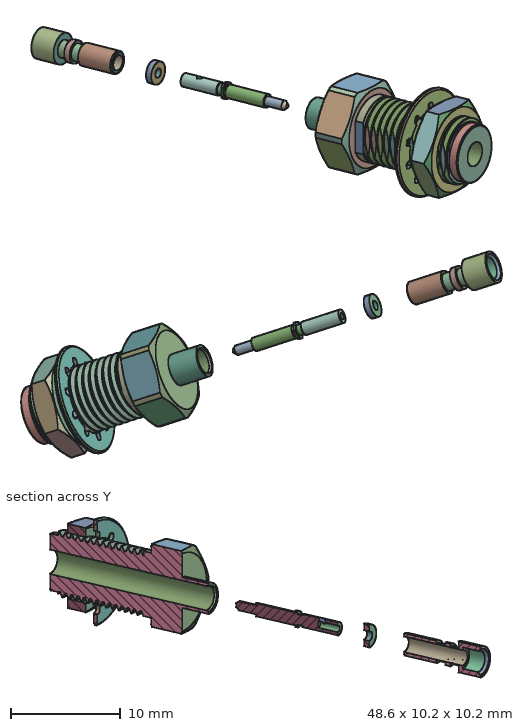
import cadquery as cq
import math


SLEEVE_HEAD_DIAMETER = 3.0
SLEEVE_HEAD_LENGTH = 2.5
SLEEVE_NECK_DIAMETER = 1.7
SLEEVE_BARREL_DIAMETER = 2.2
SLEEVE_COLLAR_START = 3.4
SLEEVE_COLLAR_LENGTH = 0.6
SLEEVE_BARREL_START = 4.95
SLEEVE_LENGTH = 8.65
SLEEVE_BARREL_CHAMFER = 0.12
SLEEVE_SOCKET_DIAMETER = 2.0
SLEEVE_SOCKET_DEPTH = 2.0
SLEEVE_MOUTH_DIAMETER = 2.5
SLEEVE_MOUTH_DEPTH = 0.25
SLEEVE_BORE_DIAMETER = 1.45

BEAD_START = 12.55
BEAD_LENGTH = 0.6
BEAD_DIAMETER = 2.2
BEAD_BORE_DIAMETER = 0.88

PIN_START = 16.1
PIN_DIAMETER = 1.3
PIN_GROOVE_DIAMETER = 1.05
PIN_GROOVE_START = 20.1
PIN_FLANGE_DIAMETER = 1.6
PIN_FLANGE_START = 20.65
PIN_FLANGE_LENGTH = 0.25
PIN_RELIEF_DIAMETER = 1.27
PIN_RELIEF_END = 21.1
PIN_SHOULDER = 25.35
PIN_TIP_DIAMETER = 0.92
PIN_TIP_CONE_START = 27.25
PIN_POINT_DIAMETER = 0.4
PIN_END = 27.6
PIN_CUP_DIAMETER = 0.6
PIN_CUP_DEPTH = 2.2
PIN_VENT_DIAMETER = 0.6
PIN_VENT_X = 17.85

TUBE_START = 30.7
TUBE_DIAMETER = 3.0
HEX_START = 33.65
HEX_LENGTH = 3.55
HEX_END = HEX_START + HEX_LENGTH
HEX_ACROSS_FLATS = 8.0
HEX_CORNER_DIAMETER = 8.95
HEX_FACE_DIAMETER = 7.5
HEX_CHAMFER_LENGTH = 0.3
HOUSING_END = 48.6
HOUSING_END_CHAMFER = 0.1
HOUSING_BORE_DIAMETER = 2.3
HOUSING_MOUTH_DIAMETER = 2.5
HOUSING_MOUTH_DEPTH = 0.2
THREAD_DIAMETER = 6.3
INCH = 25.4
THREADS_PER_INCH = 36
THREAD_PITCH = INCH / THREADS_PER_INCH
THREAD_ROOT_DIAMETER = 5.4
THREAD_CREST_WIDTH = 0.1
THREAD_ROOT_WIDTH = 0.12
THREAD_GROOVE_OVERSHOOT = 0.05
COLLAR_END = 38.05
THREAD_GROOVE_START = 37.65
THREAD_GROOVE_TURNS = 14.8
THREAD_END = 47.7
NOSE_DIAMETER = 5.5
HOUSING_FLAT_OFFSET = 2.75

WASHER_START = 43.2
WASHER_THICKNESS = 0.45
WASHER_DIAMETER = 10.2
WASHER_BORE_DIAMETER = 6.5
WASHER_RIM_CHAMFER = 0.15
WASHER_SLOT_COUNT = 10
WASHER_SLOT_WIDTH = 0.7
WASHER_SLOT_END_RADIUS = 3.95

NUT_START = 44.5
NUT_LENGTH = 2.1
NUT_ACROSS_FLATS = 8.15
NUT_FACE_DIAMETER = 8.0
NUT_CHAMFER_LENGTH = 0.35


def turned(profile):
    """Revolve (x, radius) points about the X axis."""
    return cq.Workplane("XY").polyline(profile).close().revolve(360, (0, 0, 0), (1, 0, 0))


def cylinder(start, end, diameter):
    return cq.Workplane("YZ", origin=(start, 0, 0)).circle(diameter / 2).extrude(end - start)


def cone(start, end, start_diameter, end_diameter):
    return turned([(start, 0), (start, start_diameter / 2), (end, end_diameter / 2), (end, 0)])


def hex_prism(start, length, across_flats, face_diameter, corner_diameter, chamfer_length):
    """Hexagon with its corners along Y, turned down to a circle at both end faces."""
    end = start + length
    hexagon = (
        cq.Workplane("YZ", origin=(start, 0, 0))
        .polygon(6, across_flats / math.cos(math.pi / 6))
        .extrude(length)
    )
    face_radius = face_diameter / 2
    corner_radius = corner_diameter / 2
    envelope = turned([
        (start, 0),
        (start, face_radius),
        (start + chamfer_length, corner_radius),
        (end - chamfer_length, corner_radius),
        (end, face_radius),
        (end, 0),
    ])
    return hexagon.intersect(envelope)


def make_sleeve():
    collar_end = SLEEVE_COLLAR_START + SLEEVE_COLLAR_LENGTH
    sleeve = cylinder(0, SLEEVE_HEAD_LENGTH, SLEEVE_HEAD_DIAMETER)
    sleeve = sleeve.union(cylinder(SLEEVE_HEAD_LENGTH, SLEEVE_BARREL_START, SLEEVE_NECK_DIAMETER))
    sleeve = sleeve.union(cylinder(SLEEVE_COLLAR_START, collar_end, SLEEVE_BARREL_DIAMETER))
    barrel = cylinder(SLEEVE_BARREL_START, SLEEVE_LENGTH, SLEEVE_BARREL_DIAMETER)
    sleeve = sleeve.union(barrel.faces(">X").chamfer(SLEEVE_BARREL_CHAMFER))
    sleeve = sleeve.cut(cylinder(0, SLEEVE_LENGTH, SLEEVE_BORE_DIAMETER))
    sleeve = sleeve.cut(cylinder(0, SLEEVE_SOCKET_DEPTH, SLEEVE_SOCKET_DIAMETER))
    return sleeve.cut(cone(0, SLEEVE_MOUTH_DEPTH, SLEEVE_MOUTH_DIAMETER, SLEEVE_SOCKET_DIAMETER))


def make_bead():
    end = BEAD_START + BEAD_LENGTH
    return cylinder(BEAD_START, end, BEAD_DIAMETER).cut(cylinder(BEAD_START, end, BEAD_BORE_DIAMETER))


def make_pin():
    flange_end = PIN_FLANGE_START + PIN_FLANGE_LENGTH
    pin = cylinder(PIN_START, PIN_GROOVE_START, PIN_DIAMETER)
    pin = pin.union(cylinder(PIN_GROOVE_START, PIN_FLANGE_START, PIN_GROOVE_DIAMETER))
    flange = cylinder(PIN_FLANGE_START, flange_end, PIN_FLANGE_DIAMETER)
    flats = cq.Workplane("YZ", origin=(PIN_FLANGE_START, 0, 0)).rect(PIN_DIAMETER, PIN_FLANGE_DIAMETER)
    pin = pin.union(flange.intersect(flats.extrude(PIN_FLANGE_LENGTH)))
    pin = pin.union(cylinder(flange_end, PIN_RELIEF_END, PIN_RELIEF_DIAMETER))
    pin = pin.union(cylinder(PIN_RELIEF_END, PIN_SHOULDER, PIN_DIAMETER))
    pin = pin.union(cylinder(PIN_SHOULDER, PIN_TIP_CONE_START, PIN_TIP_DIAMETER))
    pin = pin.union(cone(PIN_TIP_CONE_START, PIN_END, PIN_TIP_DIAMETER, PIN_POINT_DIAMETER))
    pin = pin.cut(cylinder(PIN_START, PIN_START + PIN_CUP_DEPTH, PIN_CUP_DIAMETER))
    vent = cq.Workplane("XY").center(PIN_VENT_X, 0).circle(PIN_VENT_DIAMETER / 2).extrude(PIN_DIAMETER)
    return pin.cut(vent)


def thread_groove():
    """Right-hand trapezoidal groove; it begins at -Z and runs out past the end of the thread."""
    height = THREAD_GROOVE_TURNS * THREAD_PITCH
    root_radius = THREAD_ROOT_DIAMETER / 2
    crest_radius = THREAD_DIAMETER / 2
    root_half = THREAD_ROOT_WIDTH / 2
    crest_half = (THREAD_PITCH - THREAD_CREST_WIDTH) / 2
    flank_slope = (crest_half - root_half) / (crest_radius - root_radius)
    outer_radius = crest_radius + THREAD_GROOVE_OVERSHOOT
    outer_half = crest_half + flank_slope * THREAD_GROOVE_OVERSHOOT
    path = cq.Workplane(cq.Wire.makeHelix(THREAD_PITCH, height, root_radius))
    groove = (
        cq.Workplane("XZ")
        .moveTo(root_radius, -root_half)
        .lineTo(outer_radius, -outer_half)
        .lineTo(outer_radius, outer_half)
        .lineTo(root_radius, root_half)
        .close()
        .sweep(path, isFrenet=True)
    )
    return groove.rotate((0, 0, 0), (0, 1, 0), 90).translate((THREAD_GROOVE_START, 0, 0))


def make_housing():
    threaded = cylinder(HEX_END, HOUSING_END, THREAD_DIAMETER).cut(thread_groove())
    threaded = threaded.union(cylinder(HEX_END, COLLAR_END, THREAD_DIAMETER))
    nose = cylinder(THREAD_END, HOUSING_END, NOSE_DIAMETER).faces(">X").chamfer(HOUSING_END_CHAMFER)
    threaded = threaded.cut(cylinder(THREAD_END, HOUSING_END, 2 * THREAD_DIAMETER)).union(nose)
    flat = cq.Workplane("XY").box(
        HOUSING_END - HEX_END, THREAD_DIAMETER, THREAD_DIAMETER, centered=(False, False, True)
    )
    threaded = threaded.cut(flat.translate((HEX_END, -HOUSING_FLAT_OFFSET - THREAD_DIAMETER, 0)))
    hexagon = hex_prism(
        HEX_START, HEX_LENGTH, HEX_ACROSS_FLATS, HEX_FACE_DIAMETER, HEX_CORNER_DIAMETER, HEX_CHAMFER_LENGTH
    )
    housing = threaded.union(hexagon).union(cylinder(TUBE_START, HEX_START, TUBE_DIAMETER))
    housing = housing.cut(cylinder(TUBE_START, HOUSING_END, HOUSING_BORE_DIAMETER))
    mouth_end = TUBE_START + HOUSING_MOUTH_DEPTH
    return housing.cut(cone(TUBE_START, mouth_end, HOUSING_MOUTH_DIAMETER, HOUSING_BORE_DIAMETER))


def make_washer():
    """Internal-tooth lock washer: slots open to the bore leave the teeth between them."""
    end = WASHER_START + WASHER_THICKNESS
    washer = cylinder(WASHER_START, end, WASHER_DIAMETER).edges().chamfer(WASHER_RIM_CHAMFER)
    washer = washer.cut(cylinder(WASHER_START, end, WASHER_BORE_DIAMETER))
    slot_pitch = 360 / WASHER_SLOT_COUNT
    slot = (
        cq.Workplane("YZ", origin=(WASHER_START, 0, 0))
        .center(WASHER_SLOT_END_RADIUS / 2, 0)
        .slot2D(WASHER_SLOT_END_RADIUS, WASHER_SLOT_WIDTH)
        .extrude(WASHER_THICKNESS)
    )
    for index in range(WASHER_SLOT_COUNT):
        washer = washer.cut(slot.rotate((0, 0, 0), (1, 0, 0), (index + 0.5) * slot_pitch))
    return washer


def make_nut():
    full_corner_diameter = NUT_ACROSS_FLATS / math.cos(math.pi / 6)
    nut = hex_prism(
        NUT_START, NUT_LENGTH, NUT_ACROSS_FLATS, NUT_FACE_DIAMETER, full_corner_diameter, NUT_CHAMFER_LENGTH
    )
    return nut.cut(cylinder(NUT_START, NUT_START + NUT_LENGTH, THREAD_DIAMETER))


sleeve = make_sleeve()
bead = make_bead()
pin = make_pin()
housing = make_housing()
washer = make_washer()
nut = make_nut()

result = cq.Compound.makeCompound([
    sleeve.solids().val(),
    bead.solids().val(),
    pin.solids().val(),
    housing.solids().val(),
    washer.solids().val(),
    nut.solids().val(),
])